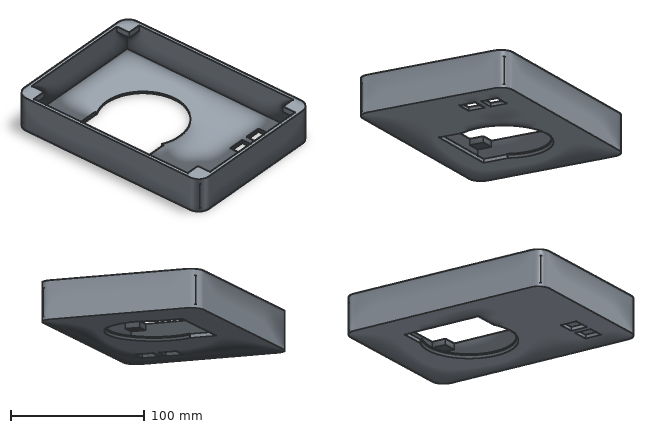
import cadquery as cq

length = 180.0
width = 130.0
height = 30.0
corner_radius = 10.0

wall = 3.0
floor = 3.0
tab_size = 11.9
tab_thickness = 5.0

opening_x = -19.8
opening_radius = 35.5
flare_width = 1.6
flare_depth = 2.0
slot_width = 66.8
slot_top_y = -16.0
slot_bottom_y = -37.3

window_size = 14.0
window_x = 62.0
window_pitch = 19.0
lower_window_y = 19.5

cavity_length = length - 2 * wall
cavity_width = width - 2 * wall


def make_envelope():
    """Solid block with rounded vertical corners."""
    block = cq.Workplane("XY").box(length, width, height, centered=(True, True, False))
    return block.edges("|Z").fillet(corner_radius)


def make_shell():
    """Open-topped tray with rounded outer corners and a square-cornered cavity."""
    cavity = cq.Workplane("XY").workplane(offset=floor).rect(cavity_length, cavity_width).extrude(height)
    return make_envelope().cut(cavity)


def make_corner_tabs():
    """Square tabs flush with the rim, overlapping into the walls."""
    overlap = wall / 2
    side = tab_size + overlap
    return (
        cq.Workplane("XY")
        .workplane(offset=height - tab_thickness)
        .rect(cavity_length + 2 * overlap - side, cavity_width + 2 * overlap - side, forConstruction=True)
        .vertices()
        .rect(side, side)
        .extrude(tab_thickness)
    )


def make_keyhole_cutter():
    """Cutter for the large opening through the floor."""
    circle = cq.Workplane("XY").center(opening_x, 0).circle(opening_radius).extrude(floor)
    flare = (
        cq.Workplane("XY")
        .center(opening_x, 0)
        .circle(opening_radius + flare_width)
        .workplane(offset=flare_depth)
        .circle(opening_radius)
        .loft(ruled=True)
    )
    slot_length = slot_top_y - slot_bottom_y
    slot_y = (slot_top_y + slot_bottom_y) / 2
    slot = cq.Workplane("XY").center(opening_x, slot_y).rect(slot_width, slot_length).extrude(floor)
    return circle.union(flare).union(slot)


def make_window_cutter():
    """Cutter for the two square windows through the floor."""
    centers = [(window_x, lower_window_y + i * window_pitch) for i in range(2)]
    return cq.Workplane("XY").pushPoints(centers).rect(window_size, window_size).extrude(floor)


tabs = make_corner_tabs().intersect(make_envelope())
result = make_shell().union(tabs).cut(make_keyhole_cutter()).cut(make_window_cutter())